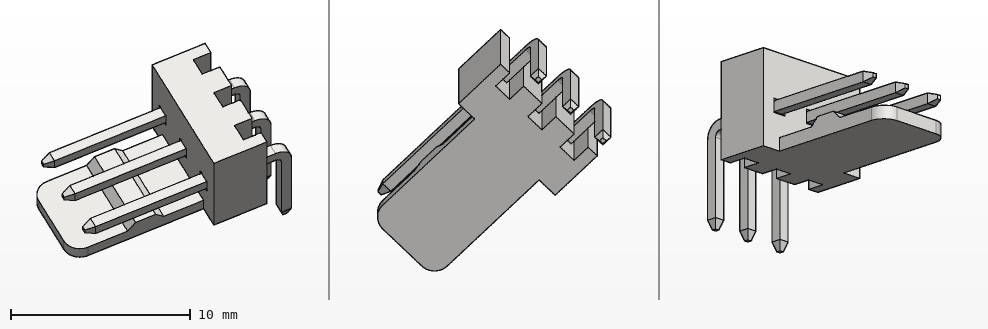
import cadquery as cq


PIN_COUNT = 3
PITCH = 2.54
PIN_X = [(i - (PIN_COUNT - 1) / 2) * PITCH for i in range(PIN_COUNT)]

HOUSING_WIDTH = PIN_COUNT * PITCH
HOUSING_DEPTH = 3.3
HOUSING_HEIGHT = 5.8
SLOT_WIDTH = 1.1
SLOT_DEPTH = 1.1

TONGUE_WIDTH = (PIN_COUNT - 1) * PITCH
TONGUE_LENGTH = 8.2
TONGUE_THICKNESS = 0.8
TONGUE_CORNER_RADIUS = 1.0
LATCH_START = 2.48
LATCH_RISE = 0.5
LATCH_TOP_LENGTH = 1.25

PIN_SIZE = 0.64
PIN_HEIGHT = 2.6
PIN_REACH = 7.46
PIN_SETBACK = 2.02
TAIL_LENGTH = 3.4
BEND_RADIUS = 1.0
TIP_LENGTH = 0.58
TIP_SIZE = 0.26

LEAD_IN_DEPTH = 0.1
LEAD_IN_SIZE = PIN_SIZE + 2 * LEAD_IN_DEPTH


def make_frustum(center, direction, base_size, end_size, length):
    """Square pyramid frustum from a base at center, tapering along the given direction."""
    plane = cq.Plane(origin=center, xDir=(1, 0, 0), normal=direction)
    return (
        cq.Workplane(plane)
        .rect(base_size, base_size)
        .workplane(offset=length)
        .rect(end_size, end_size)
        .loft(ruled=True)
    )


def make_tip(center, direction):
    """Tapered end of a pin."""
    return make_frustum(center, direction, PIN_SIZE, TIP_SIZE, TIP_LENGTH)


def make_housing():
    """Block with a full-height slot behind every pin and a lead-in around it in front."""
    housing = cq.Workplane("XY").box(
        HOUSING_WIDTH, HOUSING_DEPTH, HOUSING_HEIGHT, centered=(True, False, False)
    )
    slot = (
        cq.Workplane("XY")
        .box(SLOT_WIDTH, SLOT_DEPTH, HOUSING_HEIGHT, centered=(True, False, False))
        .translate((0, HOUSING_DEPTH - SLOT_DEPTH, 0))
    )
    lead_in = make_frustum((0, 0, PIN_HEIGHT), (0, 1, 0), LEAD_IN_SIZE, PIN_SIZE, LEAD_IN_DEPTH)
    for x in PIN_X:
        housing = housing.cut(slot.translate((x, 0, 0)))
        housing = housing.cut(lead_in.translate((x, 0, 0)))
    return housing


def make_tongue():
    """Flat tongue with rounded front corners and a trapezoidal latch ridge across it."""
    ridge_top = TONGUE_THICKNESS + LATCH_RISE
    top_start = LATCH_START + LATCH_RISE
    top_end = top_start + LATCH_TOP_LENGTH
    latch_end = top_end + LATCH_RISE
    return (
        cq.Workplane("YZ")
        .moveTo(0, 0)
        .lineTo(0, TONGUE_THICKNESS)
        .lineTo(-LATCH_START, TONGUE_THICKNESS)
        .lineTo(-top_start, ridge_top)
        .lineTo(-top_end, ridge_top)
        .lineTo(-latch_end, TONGUE_THICKNESS)
        .lineTo(-TONGUE_LENGTH, TONGUE_THICKNESS)
        .lineTo(-TONGUE_LENGTH, 0)
        .close()
        .extrude(TONGUE_WIDTH / 2, both=True)
        .edges("|Z and <Y")
        .fillet(TONGUE_CORNER_RADIUS)
    )


def make_pin():
    """Square wire bent down behind the housing, tapered at both ends, centred on X = 0."""
    half = PIN_SIZE / 2
    front = -PIN_REACH + TIP_LENGTH
    back = HOUSING_DEPTH + PIN_SETBACK
    bottom = -TAIL_LENGTH + TIP_LENGTH
    top = PIN_HEIGHT + half
    wire = (
        cq.Workplane("YZ")
        .moveTo(front, top)
        .lineTo(back, top)
        .lineTo(back, bottom)
        .lineTo(back - PIN_SIZE, bottom)
        .lineTo(back - PIN_SIZE, top - PIN_SIZE)
        .lineTo(front, top - PIN_SIZE)
        .close()
        .extrude(half, both=True)
    )
    outer_corner = cq.selectors.NearestToPointSelector((0, back, top))
    inner_corner = cq.selectors.NearestToPointSelector((0, back - PIN_SIZE, top - PIN_SIZE))
    wire = wire.edges("|X").edges(outer_corner).fillet(BEND_RADIUS)
    wire = wire.edges("|X").edges(inner_corner).fillet(BEND_RADIUS - PIN_SIZE)
    mating_tip = make_tip((0, front, PIN_HEIGHT), (0, -1, 0))
    tail_tip = make_tip((0, back - half, bottom), (0, 0, -1))
    return wire.union(mating_tip).union(tail_tip)


pin = make_pin()
result = make_housing().union(make_tongue())
for pin_x in PIN_X:
    result = result.union(pin.translate((pin_x, 0, 0)))